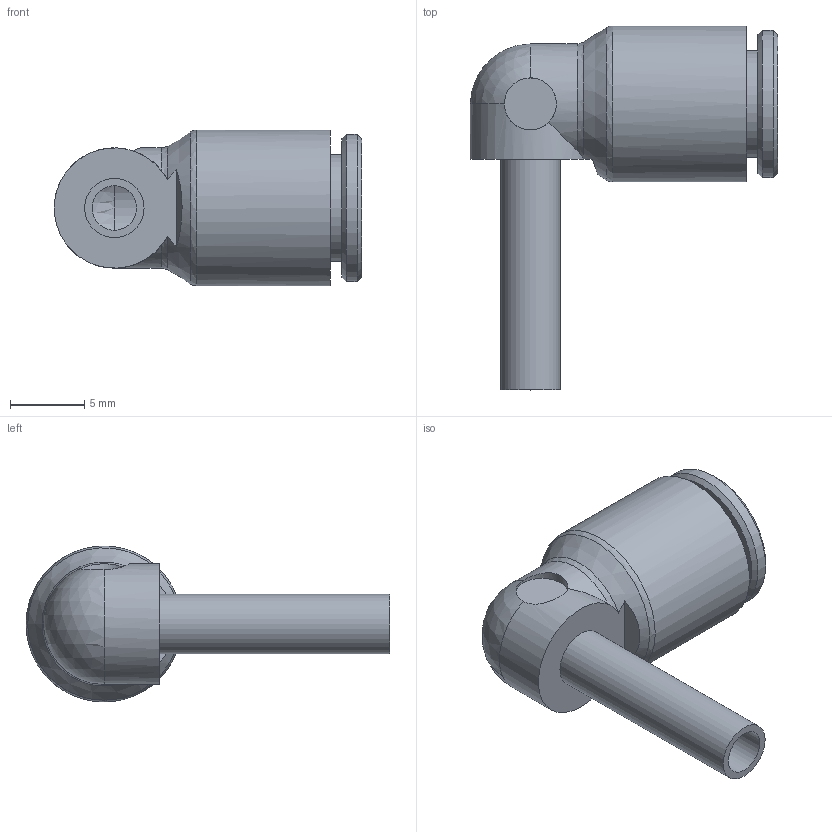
import cadquery as cq
import math

elbow_radius = 4.05
elbow_face_y = -3.72

stem_radius = 2.0
stem_bore_radius = 1.5
stem_end_y = -19.25

body_radius = 5.25
cone_start_x = 3.38
cone_end_x = 5.31
cone_blend_radius = 0.8
body_end_x = 14.52
socket_bore_radius = 3.0

ring_neck_radius = 3.6
ring_radius = 4.95
ring_start_x = 15.32
ring_end_x = 16.65
ring_chamfer = 0.3

clearance_start_x = 4.17
clearance_slope = 20.0

recess_radius = 1.75
recess_floor_z = 3.45


def cylinder_along_x(radius, start_x, end_x):
    return cq.Workplane("YZ", origin=(start_x, 0, 0)).circle(radius).extrude(end_x - start_x)


def cylinder_along_minus_y(radius, start_y, end_y):
    return cq.Workplane("XZ", origin=(0, start_y, 0)).circle(radius).extrude(start_y - end_y)


def make_socket_body():
    """Neck, cone and main barrel, with both ends of the cone blended."""
    profile = [
        (0, 0),
        (0, elbow_radius),
        (cone_start_x, elbow_radius),
        (cone_end_x, body_radius),
        (body_end_x, body_radius),
        (body_end_x, 0),
    ]
    body = cq.Workplane("XY").polyline(profile).close().revolve(360, (0, 0, 0), (1, 0, 0))
    cone_edges = body.faces("%CONE").edges("%CIRCLE")
    return cone_edges.fillet(cone_blend_radius)


def make_clearance_cut():
    """Space in front of the elbow face, closed by a sloped wall in the cone."""
    depth = body_radius
    wall_shift = depth * math.tan(math.radians(clearance_slope))
    outline = [
        (-elbow_radius, elbow_face_y),
        (clearance_start_x, elbow_face_y),
        (clearance_start_x + wall_shift, elbow_face_y - depth),
        (-elbow_radius, elbow_face_y - depth),
    ]
    return cq.Workplane("XY").polyline(outline).close().extrude(body_radius, both=True)


def make_elbow():
    """Ball corner with the short cylinder that carries the stem."""
    ball = cq.Workplane("XY").sphere(elbow_radius)
    diameter = 2 * elbow_radius
    face_plane = cq.Workplane("XZ", origin=(0, elbow_face_y, 0))
    beyond_face = face_plane.rect(diameter, diameter).extrude(elbow_radius)
    return cylinder_along_minus_y(elbow_radius, 0, elbow_face_y).union(ball.cut(beyond_face))


def make_release_ring():
    """Narrow neck and the chamfered flange that is pressed to free a tube."""
    neck = cylinder_along_x(ring_neck_radius, body_end_x, ring_start_x)
    flange = cylinder_along_x(ring_radius, ring_start_x, ring_end_x)
    return neck.union(flange.edges("%CIRCLE").chamfer(ring_chamfer))


def make_bore():
    """Narrow stem passage opening into a wide, ball-ended socket bore."""
    ball_end = cq.Workplane("XY").sphere(socket_bore_radius)
    stem_bore = cylinder_along_minus_y(stem_bore_radius, 0, stem_end_y)
    socket_bore = cylinder_along_x(socket_bore_radius, 0, ring_end_x)
    return ball_end.union(socket_bore).union(stem_bore)


def make_recess():
    """Shallow round pocket with a flat floor, cut down into the elbow."""
    return (
        cq.Workplane("XY", origin=(0, 0, recess_floor_z))
        .circle(recess_radius)
        .extrude(elbow_radius)
    )


socket = make_socket_body().cut(make_clearance_cut())
stem = cylinder_along_minus_y(stem_radius, 0, stem_end_y)
result = socket.union(make_elbow()).union(make_release_ring()).union(stem)
result = result.cut(make_bore()).cut(make_recess())